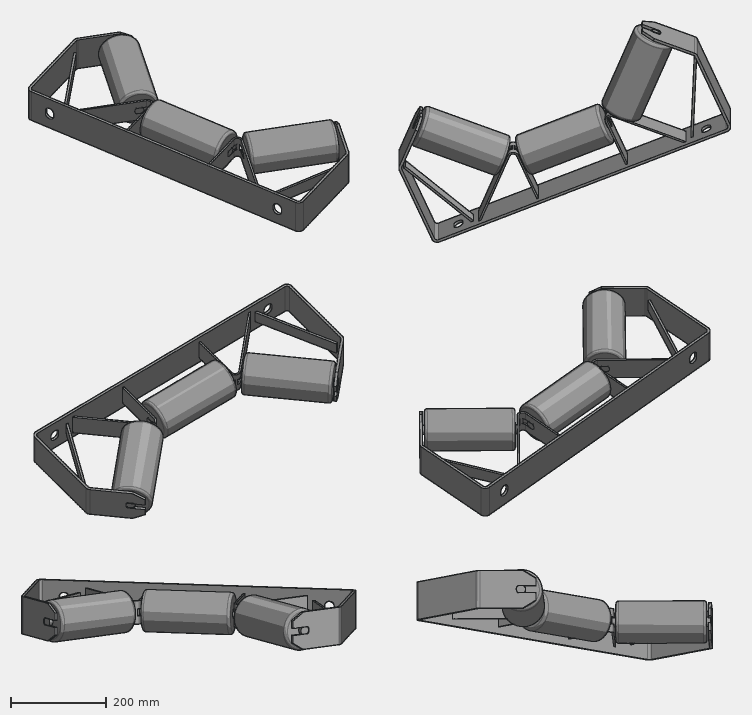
import cadquery as cq
import math


frame_width = 680.0
frame_height = 80.0
frame_top = 278.0
sheet = 6.0
bend_radius = 12.0
chamfer_along = 26.5
chamfer_high = 16.0
mount_slot_width = 20.5
mount_slot_height = 28.5
mount_slot_spacing = 565.0

roller_diameter = 89.0
roller_length = 190.5
roller_fillet = 6.0
shaft_diameter = 20.0
shaft_flats = 15.0
shaft_gap = 4.0
middle_roller_y = 99.0
outer_roller_x = 201.0
outer_roller_y = 181.5
tilt = 45.0

bracket_height = 50.0
bracket_sheet = 4.0
brace_height = 30.0
brace_sheet = 5.0
brace_foot_x = 253.0
brace_top_y = 177.0

half_width = frame_width / 2
tilt_rad = math.radians(tilt)
flange_slope = 1 / math.tan(tilt_rad)
strip_span = roller_length + 2 * shaft_gap
shaft_length = strip_span + 2 * bracket_sheet
slot_reach = strip_span + 2 * sheet
face_offset_x = strip_span / 2 / math.cos(tilt_rad)
flange_outer_x = -outer_roller_x - face_offset_x - sheet / math.cos(tilt_rad)
knee_y = outer_roller_y - (half_width + flange_outer_x) * flange_slope
bracket_foot_x = -outer_roller_x + face_offset_x - (outer_roller_y - sheet) / flange_slope

middle_pose = (0, middle_roller_y, 0)
left_pose = (-outer_roller_x, outer_roller_y, -tilt)
right_pose = (outer_roller_x, outer_roller_y, tilt)


def mirrored(body):
    """Mirror image of a body on the other side of the plane X = 0."""
    return body.mirror("YZ")


def symmetric(left_points):
    """Close an outline by adding the mirror images of its left half."""
    return left_points + [(-x, y) for x, y in reversed(left_points)]


def prism(points, height):
    """Extrude a closed outline to a prism centred on Z = 0."""
    return cq.Workplane("XY", origin=(0, 0, -height / 2)).polyline(points).close().extrude(height)


def posed(body, pose):
    """Turn a body built along X about Z and move it to a roller position."""
    x, y, angle = pose
    return body.rotate((0, 0, 0), (0, 0, 1), angle).translate((x, y, 0))


def bar(diameter, length):
    """Round bar along X, centred on the origin."""
    return cq.Workplane("YZ", origin=(-length / 2, 0, 0)).circle(diameter / 2).extrude(length)


def flatted_bar(length):
    """Shaft along X with two flats that face up and down."""
    flats = cq.Workplane("XY").box(length, shaft_diameter, shaft_flats)
    return bar(shaft_diameter, length).intersect(flats)


def slot_cutter():
    """Flatted shaft extended along +Y: the open slots that the shaft ends drop into."""
    entry = cq.Workplane("XY").box(slot_reach, roller_diameter, shaft_flats, centered=(True, False, True))
    return flatted_bar(slot_reach).union(entry)


def make_roller():
    shell = bar(roller_diameter, roller_length).faces("<X or >X").edges().fillet(roller_fillet)
    collars = bar(shaft_diameter, strip_span)
    return shell.union(collars).union(flatted_bar(shaft_length))


def flange_corners(tip):
    """Cutter for both chamfered corners at the end of the left flange."""
    edge_z = frame_height / 2
    corner = (
        cq.Workplane("XZ")
        .polyline([(0, edge_z), (-chamfer_along, edge_z), (0, edge_z - chamfer_high)])
        .close()
        .extrude(sheet)
    )
    both = corner.union(corner.mirror("XY"))
    return both.rotate((0, 0, 0), (0, 0, 1), 90 - tilt).translate((*tip, 0))


def make_frame():
    tip = (-half_width + (frame_top - knee_y) / flange_slope, frame_top)
    inner_tip = (tip[0] + sheet * math.cos(tilt_rad), tip[1] - sheet * math.sin(tilt_rad))
    inner_x = -half_width + sheet
    inner_knee_y = knee_y - sheet * math.tan(tilt_rad / 2)

    outside = prism(symmetric([(-half_width, 0), (-half_width, knee_y), tip, inner_tip]), frame_height)
    outside = outside.edges("|Z and (<X or >X)").fillet(bend_radius)
    inside = prism(symmetric([(inner_x, sheet), (inner_x, inner_knee_y), inner_tip]), frame_height)
    inside = inside.edges("|Z and (<X or >X)").fillet(bend_radius - sheet)
    frame = outside.cut(inside)

    mount_slots = (
        cq.Workplane("XZ")
        .pushPoints([(-mount_slot_spacing / 2, 0), (mount_slot_spacing / 2, 0)])
        .slot2D(mount_slot_height, mount_slot_width, 90)
        .extrude(-sheet)
    )
    corners = flange_corners(tip)
    frame = frame.cut(mount_slots).cut(corners).cut(mirrored(corners))
    for pose in (left_pose, right_pose):
        frame = frame.cut(posed(slot_cutter(), pose))
    return frame


def bracket_triangle(foot_x, upright_x):
    """Triangle on the base between a sloping side that starts at foot_x and an upright side."""
    apex_y = sheet + (upright_x - foot_x) * flange_slope
    return [(foot_x, sheet), (upright_x, sheet), (upright_x, apex_y)]


def make_bracket():
    """Left bracket: an upright leg for the middle roller and a sloping leg for the outer one."""
    face_x = -strip_span / 2
    back_x = face_x - bracket_sheet
    inner_foot_x = bracket_foot_x + bracket_sheet / math.cos(tilt_rad)

    outside = prism(bracket_triangle(bracket_foot_x, face_x), bracket_height)
    outside = outside.edges("|Z and >Y").fillet(bend_radius)
    inside = prism(bracket_triangle(inner_foot_x, back_x), bracket_height)
    inside = inside.edges("|Z and >Y").fillet(bend_radius - bracket_sheet)
    bracket = outside.cut(inside)
    for pose in (left_pose, middle_pose):
        bracket = bracket.cut(posed(slot_cutter(), pose))
    return bracket


def make_brace():
    """Left brace: a flat strip leaning from the base against the side leg."""
    wall_x = -half_width + sheet
    run = -brace_foot_x - wall_x
    rise = brace_top_y - sheet
    length = math.hypot(run, rise)
    foot_width = brace_sheet * length / rise
    top_corner = (wall_x + brace_sheet * rise / length, brace_top_y + brace_sheet * run / length)
    outline = [
        (-brace_foot_x, sheet),
        (wall_x, brace_top_y),
        top_corner,
        (-brace_foot_x + foot_width, sheet),
    ]
    return prism(outline, brace_height)


frame = make_frame()
left_bracket = make_bracket()
left_brace = make_brace()
brackets = [left_bracket, mirrored(left_bracket)]
braces = [left_brace, mirrored(left_brace)]
rollers = [posed(make_roller(), pose) for pose in (left_pose, middle_pose, right_pose)]

result = cq.Compound.makeCompound([body.solids().val() for body in [frame, *brackets, *braces, *rollers]])